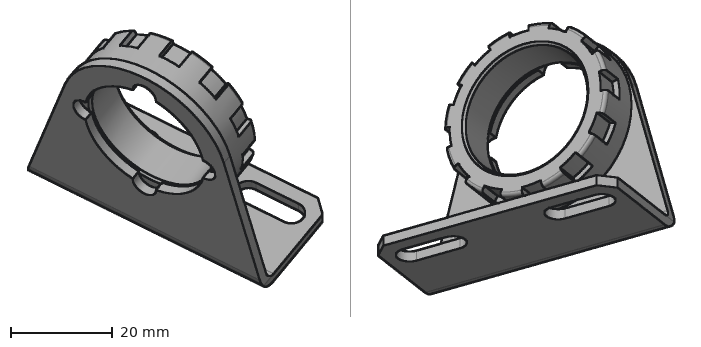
import cadquery as cq
import math

WIDTH = 55.0
FOOT_DEPTH = 25.2
HEIGHT = 49.2
SHEET = 2.25
BEND_INNER_RADIUS = 2.0
BEND_OUTER_RADIUS = BEND_INNER_RADIUS + SHEET
HEAD_RADIUS = 19.25
AXIS_Z = HEIGHT - HEAD_RADIUS

BORE_RADIUS = 13.95
KEY_COUNT = 4
KEY_RADIUS = 2.7
KEY_OFFSET = 13.85

CORNER_CHAMFER = 3.0
SLOT_LENGTH = 15.4
SLOT_WIDTH = 5.4
SLOT_X = 17.05
SLOT_Y = 19.2

RING_RADIUS = 18.7
RING_LENGTH = 9.5
RING_FILLET = 0.75
BORE_CHAMFER = 0.55
NOTCH_COUNT = 12
NOTCH_DEPTH = 1.4
NOTCH_LENGTH = 5.0
NOTCH_ANGLE = 14.3
NOTCH_PHASE = 4.7


def axial_plane(y):
    """Plane across the ring axis at depth y, normal +Y; its local x runs towards -X."""
    return cq.Plane(origin=(0, y, AXIS_Z), xDir=(-1, 0, 0), normal=(0, 1, 0))


def bent_sheet():
    """L-shaped strip with a rounded bend, before the upright is tapered."""
    strip = (
        cq.Workplane("YZ")
        .moveTo(0, HEIGHT)
        .lineTo(0, 0)
        .lineTo(FOOT_DEPTH, 0)
        .lineTo(FOOT_DEPTH, SHEET)
        .lineTo(SHEET, SHEET)
        .lineTo(SHEET, HEIGHT)
        .close()
        .extrude(WIDTH / 2, both=True)
    )
    strip = strip.edges(cq.selectors.NearestToPointSelector((0, 0, 0))).fillet(BEND_OUTER_RADIUS)
    return strip.edges(cq.selectors.NearestToPointSelector((0, SHEET, SHEET))).fillet(BEND_INNER_RADIUS)


def front_outline():
    """Foot-wide block whose sides run from the foot's top to the round head as tangents."""
    half = WIDTH / 2
    drop = AXIS_Z - SHEET
    corner_distance = math.hypot(half, drop)
    tangent_angle = math.acos(HEAD_RADIUS / corner_distance) - math.atan2(drop, half)
    tangent_x = HEAD_RADIUS * math.cos(tangent_angle)
    tangent_z = AXIS_Z + HEAD_RADIUS * math.sin(tangent_angle)
    return (
        cq.Workplane("XZ")
        .moveTo(-half, 0)
        .lineTo(half, 0)
        .lineTo(half, SHEET)
        .lineTo(tangent_x, tangent_z)
        .threePointArc((0, HEIGHT), (-tangent_x, tangent_z))
        .lineTo(-half, SHEET)
        .close()
        .extrude(-FOOT_DEPTH)
    )


def keyed_opening():
    """Cutter for the round opening and the key notches around it."""
    bore = cq.Workplane(axial_plane(0)).circle(BORE_RADIUS).extrude(SHEET)
    keys = (
        cq.Workplane(axial_plane(0))
        .polarArray(KEY_OFFSET, 0, 360, KEY_COUNT)
        .circle(KEY_RADIUS)
        .extrude(SHEET)
    )
    return bore.union(keys)


def foot_slots():
    """Cutter for the two mounting slots, long along X."""
    return (
        cq.Workplane("XY")
        .pushPoints([(-SLOT_X, SLOT_Y), (SLOT_X, SLOT_Y)])
        .slot2D(SLOT_LENGTH, SLOT_WIDTH)
        .extrude(SHEET)
    )


def make_bracket():
    bracket = bent_sheet().intersect(front_outline())
    bracket = bracket.faces(">Y").edges("|Z").chamfer(CORNER_CHAMFER)
    return bracket.cut(keyed_opening()).cut(foot_slots())


def notch_cutter(angle):
    """Cutter with radial sides and a round floor, turned by angle from straight up towards +X."""
    floor_radius = RING_RADIUS - NOTCH_DEPTH
    outer_radius = RING_RADIUS + NOTCH_DEPTH
    start = math.radians(90 + angle - NOTCH_ANGLE / 2)
    middle = math.radians(90 + angle)
    end = math.radians(90 + angle + NOTCH_ANGLE / 2)

    def polar_point(radius, turn):
        return (radius * math.cos(turn), radius * math.sin(turn))

    return (
        cq.Workplane(axial_plane(SHEET + RING_LENGTH - NOTCH_LENGTH))
        .moveTo(*polar_point(floor_radius, start))
        .lineTo(*polar_point(outer_radius, start))
        .threePointArc(polar_point(outer_radius, middle), polar_point(outer_radius, end))
        .lineTo(*polar_point(floor_radius, end))
        .threePointArc(polar_point(floor_radius, middle), polar_point(floor_radius, start))
        .close()
        .extrude(NOTCH_LENGTH)
    )


def make_ring():
    ring = cq.Workplane(axial_plane(SHEET)).circle(RING_RADIUS).extrude(RING_LENGTH)
    ring = ring.faces(">Y").edges().fillet(RING_FILLET)
    ring = ring.cut(cq.Workplane(axial_plane(SHEET)).circle(BORE_RADIUS).extrude(RING_LENGTH))
    bore_rims = ring.faces("<Y or >Y").edges("%CIRCLE").edges(cq.selectors.RadiusNthSelector(0))
    ring = bore_rims.chamfer(BORE_CHAMFER)
    for index in range(NOTCH_COUNT):
        ring = ring.cut(notch_cutter(NOTCH_PHASE + index * 360 / NOTCH_COUNT))
    return ring


bracket = make_bracket()
ring = make_ring()
result = cq.Compound.makeCompound([bracket.val(), ring.val()])